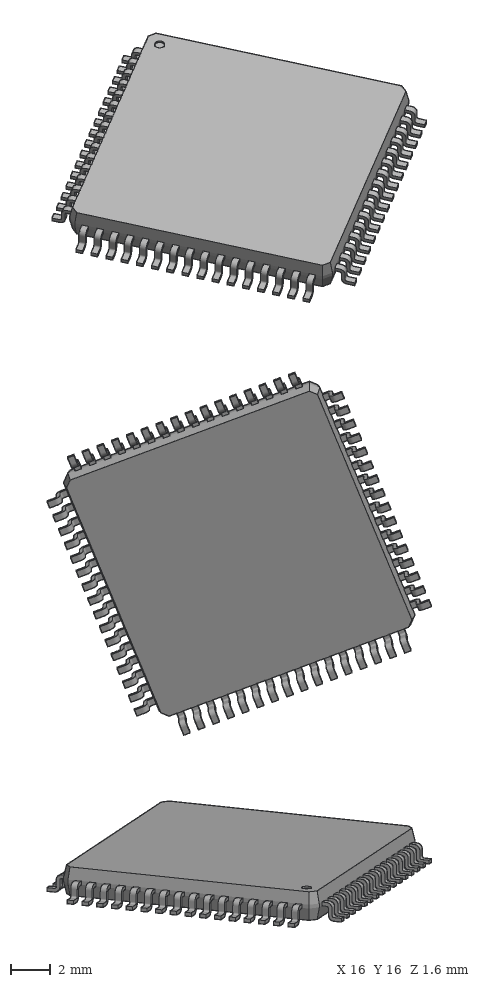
import cadquery as cq
import math


SPAN = 16.0
BODY_WIDTH = 13.9
TOP_Z = 1.6
STANDOFF = 0.1

CORNER_CHAMFER = 0.4
DRAFT_ANGLE = 12.0

LEADS_PER_SIDE = 16
LEAD_PITCH = 0.8
LEAD_WIDTH = 0.35
LEAD_THICKNESS = 0.2
SHANK_OUTER = 7.5
INNER_BEND_RADIUS = 0.1
ROOT_OVERLAP = 0.2

MARK_DIAMETER = 0.5
MARK_DEPTH = 0.1
MARK_OFFSET = 6.08

LEAD_MID_Z = (TOP_Z + STANDOFF) / 2
LEAD_TOP_Z = LEAD_MID_Z + LEAD_THICKNESS / 2
LEAD_UNDER_Z = LEAD_MID_Z - LEAD_THICKNESS / 2


def octagon_points(inset):
    """Square with cut corners whose walls are all moved inward by the inset."""
    half = BODY_WIDTH / 2 - inset
    leg = CORNER_CHAMFER - inset * (2 - math.sqrt(2))
    flat = half - leg
    return [
        (half, flat), (flat, half), (-flat, half), (-half, flat),
        (-half, -flat), (-flat, -half), (flat, -half), (half, -flat),
    ]


def body_layer(start_z, end_z, start_inset, end_inset):
    """Slice of the body between two levels."""
    return (
        cq.Workplane("XY", origin=(0, 0, start_z))
        .polyline(octagon_points(start_inset)).close()
        .workplane(offset=end_z - start_z)
        .polyline(octagon_points(end_inset)).close()
        .loft(ruled=True, combine=True)
    )


def make_body():
    """Upright band at lead level, with the walls leaning inward above and below it."""
    inset = (TOP_Z - LEAD_TOP_Z) * math.tan(math.radians(DRAFT_ANGLE))
    lower = body_layer(STANDOFF, LEAD_UNDER_Z, inset, 0)
    band = body_layer(LEAD_UNDER_Z, LEAD_TOP_Z, 0, 0)
    upper = body_layer(LEAD_TOP_Z, TOP_Z, 0, inset)
    return lower.union(band).union(upper)


def make_mark():
    """Round recess tool for the pin 1 corner."""
    return (
        cq.Workplane("XY", origin=(-MARK_OFFSET, MARK_OFFSET, TOP_Z - MARK_DEPTH))
        .circle(MARK_DIAMETER / 2)
        .extrude(MARK_DEPTH)
    )


def make_lead():
    """Gull-wing lead on the +X side, centred on Y = 0."""
    tip = SPAN / 2
    root = BODY_WIDTH / 2 - ROOT_OVERLAP
    shank_inner = SHANK_OUTER - LEAD_THICKNESS
    inner = INNER_BEND_RADIUS
    outer = INNER_BEND_RADIUS + LEAD_THICKNESS
    diagonal = math.sqrt(0.5)
    upper_x = SHANK_OUTER - outer
    upper_z = LEAD_TOP_Z - outer
    lower_x = SHANK_OUTER + inner
    lower_z = outer
    return (
        cq.Workplane("XZ", origin=(0, LEAD_WIDTH / 2, 0))
        .moveTo(root, LEAD_TOP_Z)
        .lineTo(upper_x, LEAD_TOP_Z)
        .threePointArc(
            (upper_x + outer * diagonal, upper_z + outer * diagonal),
            (SHANK_OUTER, upper_z),
        )
        .lineTo(SHANK_OUTER, lower_z)
        .threePointArc(
            (lower_x - inner * diagonal, lower_z - inner * diagonal),
            (lower_x, LEAD_THICKNESS),
        )
        .lineTo(tip, LEAD_THICKNESS)
        .lineTo(tip, 0)
        .lineTo(lower_x, 0)
        .threePointArc(
            (lower_x - outer * diagonal, lower_z - outer * diagonal),
            (shank_inner, lower_z),
        )
        .lineTo(shank_inner, upper_z)
        .threePointArc(
            (upper_x + inner * diagonal, upper_z + inner * diagonal),
            (upper_x, LEAD_UNDER_Z),
        )
        .lineTo(root, LEAD_UNDER_Z)
        .close()
        .extrude(LEAD_WIDTH)
    )


def make_all_leads():
    """One row of leads on each side of the body."""
    lead = make_lead().val()
    first_y = -(LEADS_PER_SIDE - 1) * LEAD_PITCH / 2
    row = [lead.translate(cq.Vector(0, first_y + i * LEAD_PITCH, 0)) for i in range(LEADS_PER_SIDE)]
    axis_start = cq.Vector(0, 0, 0)
    axis_end = cq.Vector(0, 0, 1)
    return [
        placed.rotate(axis_start, axis_end, angle)
        for angle in (0, 90, 180, 270)
        for placed in row
    ]


body = make_body().cut(make_mark())
result = cq.Workplane(body.val().fuse(*make_all_leads()))